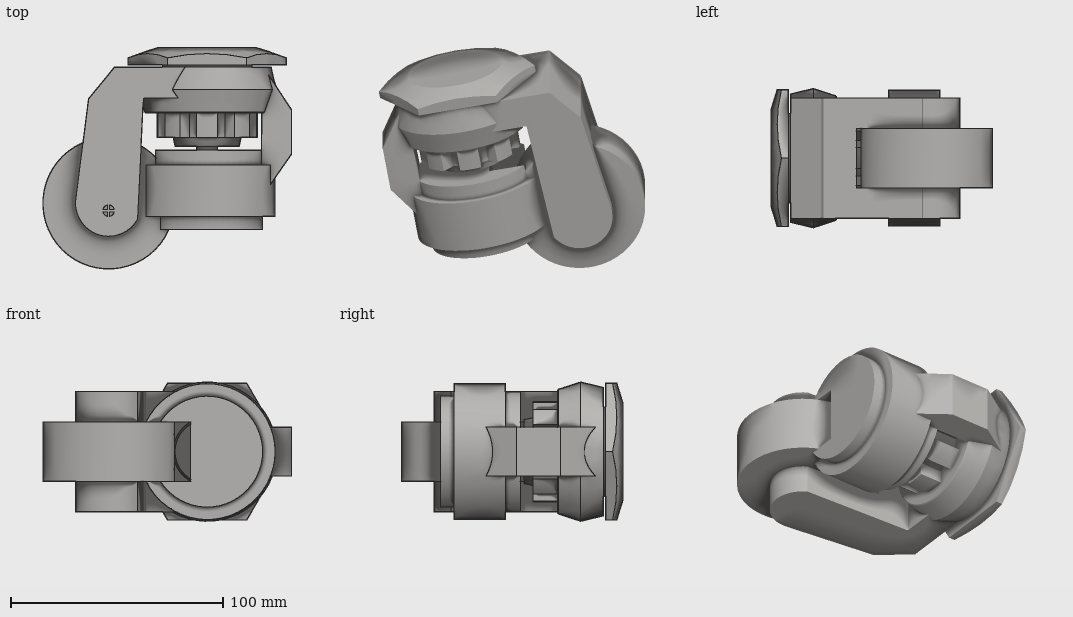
import cadquery as cq
import math


overall_length = 117.3
overall_height = 104.5

cap_bottom_y = -8.2
ring_top_y = -9.3
ring_widest_y = -19.9
ring_bottom_y = -30.8
gear_bottom_y = -42.5
collar_bottom_y = -46.7
pad_top_y = -48.5
pad_shoulder_y = -55.5
pad_rim_bottom_y = -79.6
pad_bottom_y = -86.0

cap_across_flats = 64.6
cap_corner_radius = cap_across_flats / math.sqrt(3)
cap_dome_radius = 93.5
cap_flat_radius = 22.8

washer_diameter = 42.2
ring_top_radius = 30.3
ring_widest_radius = 32.8
ring_bottom_radius = 29.5
ring_chamfer = 0.5
collar_diameter = 32.0
collar_end_diameter = 30.3
stem_diameter = 10.0
pad_neck_diameter = 56.3
pad_rim_diameter = 64.0
pad_foot_diameter = 52.3

gear_teeth = 8
gear_tip_radius = 23.7
gear_root_radius = 17.6
tooth_width = 10.0

wheel_diameter = 62.0
wheel_width = 28.0
wheel_x = -46.5
wheel_y = -overall_height + wheel_diameter / 2
fork_width = 56.9
fork_end_radius = 15.6
fork_bridge_bottom_y = -23.9
fork_top_corner_x = -43.6
fork_shoulder_x = -56.0
fork_shoulder_y = -24.3
fork_corner_fillet = 0.7
fork_inner_x = -30.0
fork_inner_end_angle = math.radians(-29)
slot_top_y = -40.2
slot_pad_x = -7.7

pin_diameter = 5.4
pin_offset = 3.5
pin_y = wheel_y - pin_offset
pin_cross_width = 1.0
pin_recess_depth = 0.6

lever_width = 23.1
lever_outer_x = overall_length + wheel_x - wheel_diameter / 2
lever_inner_top_x = 25.9
lever_inner_bottom_x = 25.3
lever_flat_top_y = -29.5
lever_flat_bottom_y = -50.3
lever_top_x = 26.5
lever_bottom_y = -71.1


def disc(diameter, top_y, bottom_y):
    """Round section of the stem stack between two levels."""
    return cq.Workplane("XZ", origin=(0, top_y, 0)).circle(diameter / 2).extrude(top_y - bottom_y)


def turned(points):
    """Solid of revolution about the stem from (radius, y) points."""
    return cq.Workplane("XY").polyline(points).close().revolve(360, (0, 0, 0), (0, 1, 0))


def make_cap():
    """Hexagon with a domed top, its corners on the X axis."""
    hexagon = cq.Workplane("XZ").polygon(6, 2 * cap_corner_radius).extrude(-cap_bottom_y)
    sphere_center_y = -math.sqrt(cap_dome_radius**2 - cap_flat_radius**2)
    dome = cq.Workplane("XY").sphere(cap_dome_radius).translate((0, sphere_center_y, 0))
    return hexagon.intersect(dome)


def make_ring():
    """Double-cone bearing ring with a small chamfer on its lower rim."""
    return turned([
        (0, ring_top_y),
        (ring_top_radius, ring_top_y),
        (ring_widest_radius, ring_widest_y),
        (ring_bottom_radius, ring_bottom_y + ring_chamfer),
        (ring_bottom_radius - ring_chamfer, ring_bottom_y),
        (0, ring_bottom_y),
    ])


def make_gear():
    """Gear with parallel-sided teeth and round tips."""
    height = ring_bottom_y - gear_bottom_y
    gear = disc(2 * gear_root_radius, ring_bottom_y, gear_bottom_y)
    tip_cylinder = disc(2 * gear_tip_radius, ring_bottom_y, gear_bottom_y)
    bars = cq.Workplane("XZ", origin=(0, ring_bottom_y, 0))
    for index in range(gear_teeth // 2):
        angle = index * 360 / gear_teeth
        bar = bars.transformed(rotate=(0, 0, angle)).rect(2 * gear_tip_radius, tooth_width).extrude(height)
        gear = gear.union(bar.intersect(tip_cylinder))
    return gear


def make_collar():
    """Tapered collar under the gear."""
    return turned([
        (0, gear_bottom_y),
        (collar_diameter / 2, gear_bottom_y),
        (collar_end_diameter / 2, collar_bottom_y),
        (0, collar_bottom_y),
    ])


def make_wheel_slot():
    """Space as wide as the wheel, cut from the fork and from the near side of the pad."""
    slot_left_x = wheel_x - wheel_diameter
    return (
        cq.Workplane("XY")
        .box(slot_pad_x - slot_left_x, slot_top_y - pad_bottom_y + wheel_diameter, wheel_width,
             centered=(False, False, True))
        .translate((slot_left_x, pad_bottom_y - wheel_diameter, 0))
    )


def make_pad():
    """Stepped levelling pad."""
    neck = disc(pad_neck_diameter, pad_top_y, pad_shoulder_y)
    rim = disc(pad_rim_diameter, pad_shoulder_y, pad_rim_bottom_y)
    foot = disc(pad_foot_diameter, pad_rim_bottom_y, pad_bottom_y)
    return neck.union(rim).union(foot)


def make_fork():
    """Fork bridge and legs; the outer edge runs tangent into the round leg ends.

    The bend in the outer edge and the inside corner of the legs are filleted.
    """
    to_shoulder_x = fork_shoulder_x - wheel_x
    to_shoulder_y = fork_shoulder_y - wheel_y
    shoulder_distance = math.hypot(to_shoulder_x, to_shoulder_y)
    tangent_angle = math.atan2(to_shoulder_y, to_shoulder_x) + math.acos(fork_end_radius / shoulder_distance)

    def on_leg_end(angle):
        return (wheel_x + fork_end_radius * math.cos(angle), wheel_y + fork_end_radius * math.sin(angle))

    return (
        cq.Workplane("XY", origin=(0, 0, -fork_width / 2))
        .moveTo(0, ring_top_y)
        .lineTo(fork_top_corner_x, ring_top_y)
        .lineTo(fork_shoulder_x, fork_shoulder_y)
        .lineTo(*on_leg_end(tangent_angle))
        .threePointArc(on_leg_end(-math.pi / 2), on_leg_end(fork_inner_end_angle))
        .lineTo(fork_inner_x, fork_bridge_bottom_y)
        .lineTo(0, fork_bridge_bottom_y)
        .close()
        .extrude(fork_width)
        .edges(cq.selectors.NearestToPointSelector((fork_shoulder_x, fork_shoulder_y, 0)))
        .fillet(fork_corner_fillet)
        .edges(cq.selectors.NearestToPointSelector((fork_inner_x, fork_bridge_bottom_y, 0)))
        .fillet(fork_corner_fillet)
    )


def make_wheel():
    """Wheel that fills the slot between the fork legs."""
    return (
        cq.Workplane("XY", origin=(wheel_x, wheel_y, -wheel_width / 2))
        .circle(wheel_diameter / 2)
        .extrude(wheel_width)
    )


def make_pin_recess():
    """Four quadrant pockets that leave a cross standing in the pin head."""
    face = cq.Workplane("XY", origin=(wheel_x, pin_y, fork_width / 2))
    recess = face.circle(pin_diameter / 2).extrude(-pin_recess_depth)
    for length, width in ((pin_diameter, pin_cross_width), (pin_cross_width, pin_diameter)):
        recess = recess.cut(face.rect(length, width).extrude(-pin_recess_depth))
    return recess


def make_lever():
    """Lever that joins the ring and the pad."""
    return (
        cq.Workplane("XY", origin=(0, 0, -lever_width / 2))
        .polyline([
            (lever_inner_top_x, ring_top_y),
            (lever_top_x, ring_top_y),
            (lever_outer_x, lever_flat_top_y),
            (lever_outer_x, lever_flat_bottom_y),
            (lever_inner_bottom_x, lever_bottom_y),
        ])
        .close()
        .extrude(lever_width)
    )


slot = make_wheel_slot()
result = (
    make_cap()
    .union(disc(washer_diameter, cap_bottom_y, ring_top_y))
    .union(make_fork().cut(slot).cut(make_pin_recess()))
    .union(make_ring())
    .union(make_gear())
    .union(make_collar())
    .union(disc(stem_diameter, collar_bottom_y, pad_top_y))
    .union(make_pad().cut(slot))
    .union(make_lever())
    .union(make_wheel())
)